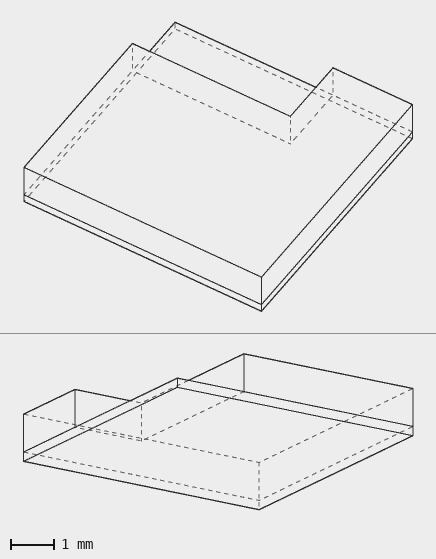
import cadquery as cq

side = 6.5
total_height = 1.15

plate_thickness = 0.23
cover_height = total_height - plate_thickness

notch_width = 4.32
notch_depth = 1.83


def make_plate():
    """Square base plate with its underside at Z = 0."""
    return cq.Workplane("XY").box(side, side, plate_thickness, centered=(True, True, False))


def make_cover():
    """L-shaped block standing on the plate, open over one corner."""
    half = side / 2
    notch_x = -half + notch_width
    notch_y = half - notch_depth
    outline = [
        (-half, -half),
        (half, -half),
        (half, half),
        (notch_x, half),
        (notch_x, notch_y),
        (-half, notch_y),
    ]
    return (
        cq.Workplane("XY")
        .workplane(offset=plate_thickness)
        .polyline(outline)
        .close()
        .extrude(cover_height)
    )


plate = make_plate()
cover = make_cover()

result = cq.Compound.makeCompound([plate.val(), cover.val()])